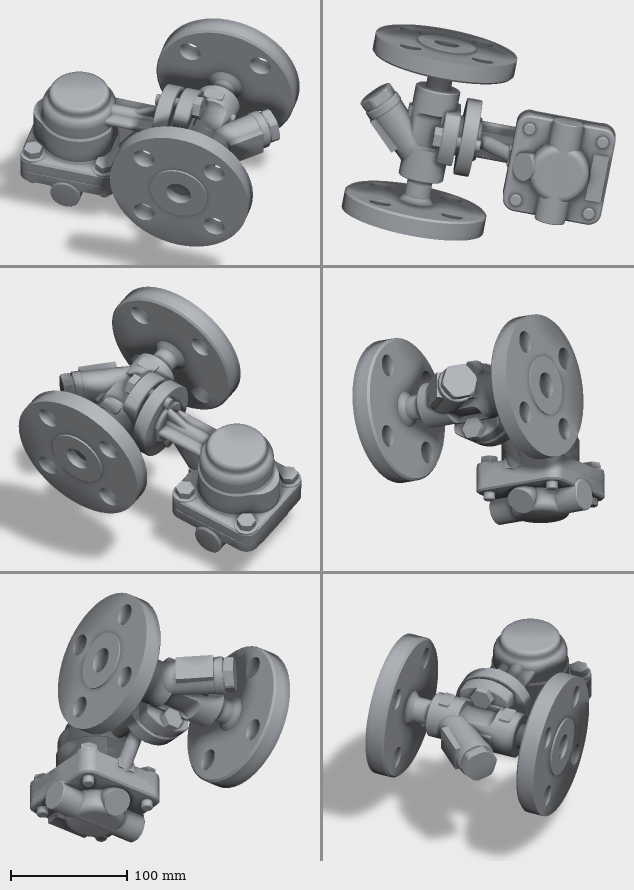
import cadquery as cq
import math


PIPE_HALF_LENGTH = 80.0
FLANGE_DIA = 124.0
FLANGE_INNER_Y = 61.7
FACE_DIA = 50.8
FACE_HEIGHT = 1.6
FLANGE_EDGE_CHAMFER = 1.8
FLANGE_BOLT_HOLE_DIA = 19.0
FLANGE_BOLT_CIRCLE = 88.9
FLANGE_BOLT_COUNT = 4
SOCKET_DIA = 22.2
SOCKET_DEPTH = 10.0
PIPE_DIA = 21.7
HUB_DIA = 30.8
HUB_LENGTH = 4.7

BODY_DIA = 39.0
BODY_HALF_LENGTH = 40.3
BODY_CHAMFER = 0.8
PAD_WIDTH = 17.0
PAD_LENGTH = 10.2
PAD_Y = 28.3
PAD_TOP = 19.65
PAD_CORNER = 2.0
WAIST_HALF_HEIGHT = 12.7
WAIST_Y = (-12.7, 19.5)
WAIST_ROUND_OUTLET = 2.9
WAIST_ROUND_INLET = 6.0

STRAINER_ROOT_Y = -27.4
STRAINER_ANGLE = 45.0
STRAINER_NECK_START = 12.0
STRAINER_NECK_RADIUS = 14.2
STRAINER_RADIUS = 15.5
STRAINER_END = 57.5
COLLAR_RADIUS = 16.3
COLLAR_END = 65.3
COLLAR_CHAMFER = 0.8
CAP_HEX_FLATS = 28.0
CAP_HEX_TRIM_RADIUS = 15.5
CAP_HEX_TURN = 13.0
CAP_END = 74.65
CAP_CHAMFER = 0.8
SPACER_RADIUS = 14.0
SPACER_LENGTH = 1.4
RIB_START = 25.0
RIB_SIDE = 16.4
RIB_HALF_HEIGHT = 11.1
WEB_REACH = 21.5
WEB_HALF_HEIGHT = 7.0

TRAP_Y = 2.0
JOINT_DIA = 67.0
TRAP_DISC_X = (-39.7, -26.8)
TRAP_DISC_CHAMFER = 0.6
BODY_DISC_X = (-23.3, -9.7)
BODY_DISC_HALF_WIDTH = 22.5
BODY_DISC_CHAMFER = 1.0
BODY_DISC_CORNER = 5.0
SHOULDER_X_END = -7.2
SHOULDER_HALF_WIDTH = 21.0
SHOULDER_HALF_HEIGHT = 18.0
GASKET_DIA = 35.0
JOINT_BOLT_DIA = 10.0
JOINT_BOLT_Z = 25.5
JOINT_BOLT_END_X = -44.0
JOINT_BOLT_CHAMFER = 0.7
JOINT_NUT_FLATS = 17.0
JOINT_NUT_LENGTH = 6.7

NECK_PLATE_DIA = 39.0
NECK_PLATE_HALF_WIDTH = 17.6
NECK_PLATE_X = -43.0
NECK_PLATE_CHAMFER = 1.3
NECK_TUBE_DIA = 15.0
NECK_SLAB_HALF_WIDTH = 16.3
NECK_SLAB_THICKNESS = 6.0
NECK_SLAB_Y = 2.25
NECK_SLAB_Z = 0.6
NECK_SLAB_FILLET = 1.2
NECK_RIB_X = -62.7
NECK_RIB_TOP = 18.0
NECK_RIB_THICKNESS = 6.6
NECK_RIB_ROUND = 2.9
PIPE_TUBE_DIA = 12.8
PIPE_TUBE_TOP = (-42.0, 2.0)
PIPE_TUBE_BOTTOM = (-78.2, -48.0)

TRAP_X = -113.1
COVER_SIZE = 86.0
UPPER_COVER_WIDTH = 85.3
COVER_TOP = -36.6
COVER_SEAM = -49.1
COVER_BOTTOM = -60.6
COVER_EDGE_CHAMFER = 1.6
UPPER_CORNER = 10.5
LOWER_CORNER = 11.2
COVER_BOLT_OFFSET = 32.0
SPOT_DIA = 21.0
SPOT_TOP = -35.7
COVER_BOLT_FLATS = 14.0
COVER_BOLT_HEAD = 6.5
COVER_BOLT_DIA = 10.0
COVER_BOLT_END = -67.0
COVER_BOLT_CHAMFER = 0.8
CASE_DIA = 67.0
CASE_TOP = -11.4
CASE_SHOULDER_Z = -9.4
CASE_RIGHT = 31.6
CASE_FOOT_DIA = 70.0
LOBE_REACH = 40.2
LOBE_RADIUS = 19.5
LOBE_BLEND = 30.0
DOME_RADIUS = 32.0
DOME_STRAIGHT_TOP = 1.0
DOME_SHOULDER_RADIUS = 27.8
DOME_SHOULDER_Z = 8.7
CROWN_RADIUS = 26.0
CROWN_FOOT_Z = 12.0
CROWN_TOP = 18.0
CROWN_ROUND = 4.0
SUMP_TOP_RADIUS = 26.6
SUMP_LOW_RADIUS = 24.8
SUMP_ROUND = 6.0
SUMP_BOTTOM = -79.2
LEDGE_OUTER = 39.9
LEDGE_HALF_WIDTH = 20.0
LEDGE_BOTTOM = -66.6
PORT_DIA = 26.3
PORT_FACE_DIA = 25.0
PORT_COLLAR_DIA = 28.8
PORT_COLLAR_INSET = 0.3
PORT_Z = -66.35
PORT_LENGTH = 89.0
PORT_Y = 2.4
DRAIN_DIA = 24.0
DRAIN_FACE_X = -81.5
DRAIN_FACE_Z = -72.58
DRAIN_RIM = 1.8
DRAIN_BODY_DIA = 23.0
DRAIN_LENGTH = 24.0
TUBE_LUG_X = -68.6
TUBE_LUG_WIDTH = 17.0
TUBE_LUG_HEIGHT = 9.0
TUBE_LUG_DEPTH = 6.0


def rod(start, axis, length, dia):
    """Round rod from a start point along an axis."""
    return cq.Workplane(cq.Solid.makeCylinder(dia / 2, length, cq.Vector(*start), cq.Vector(*axis)))


def block(x, y, z):
    """Box given as a (low, high) pair on each axis."""
    size = (x[1] - x[0], y[1] - y[0], z[1] - z[0])
    return cq.Workplane("XY").box(*size, centered=False).translate((x[0], y[0], z[0]))


def around(center, half):
    """Symmetric (low, high) pair."""
    return (center - half, center + half)


def hexagon(flats):
    """Across-corner size of a hexagon with the given size across flats."""
    return flats / math.cos(math.pi / 6)


def wall_arc_radius(run, rise):
    """Radius of an arc that leaves a vertical wall tangentially and covers the given run and rise."""
    return (run**2 + rise**2) / (2 * run)


def turned(outline):
    """Solid turned about the Z axis from (radius, z) points."""
    return cq.Workplane("XZ").polyline(outline).close().revolve(360, (0, 0, 0), (0, 1, 0))


def pipe_flange():
    """Flange, welding neck and pipe on the -Y side."""
    outer_y = PIPE_HALF_LENGTH - FACE_HEIGHT
    radius = FLANGE_DIA / 2
    outline = [
        (0, 0),
        (PIPE_DIA / 2, 0),
        (PIPE_DIA / 2, FLANGE_INNER_Y - HUB_LENGTH),
        (HUB_DIA / 2, FLANGE_INNER_Y),
        (radius - FLANGE_EDGE_CHAMFER, FLANGE_INNER_Y),
        (radius, FLANGE_INNER_Y + FLANGE_EDGE_CHAMFER),
        (radius, outer_y),
        (FACE_DIA / 2, outer_y),
        (FACE_DIA / 2, PIPE_HALF_LENGTH),
        (0, PIPE_HALF_LENGTH),
    ]
    flange = cq.Workplane("XY").polyline(outline).close().revolve(360, (0, 0, 0), (0, 1, 0))
    for index in range(FLANGE_BOLT_COUNT):
        angle = 2 * math.pi * (index + 0.5) / FLANGE_BOLT_COUNT
        x = FLANGE_BOLT_CIRCLE / 2 * math.cos(angle)
        z = FLANGE_BOLT_CIRCLE / 2 * math.sin(angle)
        flange = flange.cut(rod((x, FLANGE_INNER_Y, z), (0, 1, 0), PIPE_HALF_LENGTH, FLANGE_BOLT_HOLE_DIA))
    socket = rod((0, PIPE_HALF_LENGTH - SOCKET_DEPTH, 0), (0, 1, 0), SOCKET_DEPTH, SOCKET_DIA)
    return flange.cut(socket).mirror("XZ")


def valve_body():
    """Barrel along the pipe, waisted top and bottom, with two raised name pads."""
    barrel = rod((0, -BODY_HALF_LENGTH, 0), (0, 1, 0), 2 * BODY_HALF_LENGTH, BODY_DIA)
    barrel = barrel.faces("<Y or >Y").chamfer(BODY_CHAMFER)
    waist = block(around(0, BODY_DIA), WAIST_Y, (WAIST_HALF_HEIGHT, BODY_DIA))
    waist = waist.edges("<Y and <Z").fillet(WAIST_ROUND_OUTLET)
    waist = waist.edges(">Y and <Z").fillet(WAIST_ROUND_INLET)
    barrel = barrel.cut(waist).cut(waist.mirror("XY"))
    for y in (-PAD_Y, PAD_Y):
        pad = cq.Workplane("XY").rect(PAD_WIDTH, PAD_LENGTH).extrude(PAD_TOP)
        pad = pad.edges("|Z").fillet(PAD_CORNER).translate((0, y, 0))
        barrel = barrel.union(pad)
    return barrel


def strainer():
    """Strainer branch, built along +X and then swung round and moved to its root."""
    barrel = (
        cq.Workplane("XY")
        .polyline([
            (STRAINER_NECK_START, 0),
            (STRAINER_NECK_START, STRAINER_NECK_RADIUS),
            (STRAINER_END, STRAINER_RADIUS),
            (STRAINER_END, 0),
        ])
        .close()
        .revolve(360, (0, 0, 0), (1, 0, 0))
    )
    collar = rod((STRAINER_END, 0, 0), (1, 0, 0), COLLAR_END - STRAINER_END, 2 * COLLAR_RADIUS)
    collar = collar.faces("<X or >X").chamfer(COLLAR_CHAMFER)
    spacer = rod((COLLAR_END, 0, 0), (1, 0, 0), SPACER_LENGTH, 2 * SPACER_RADIUS)
    cap_start = COLLAR_END + SPACER_LENGTH
    cap_length = CAP_END - cap_start
    cap = cq.Workplane("YZ").polygon(6, hexagon(CAP_HEX_FLATS)).extrude(cap_length)
    cap = cap.rotate((0, 0, 0), (1, 0, 0), CAP_HEX_TURN).translate((cap_start, 0, 0))
    trim = rod((cap_start, 0, 0), (1, 0, 0), cap_length, 2 * CAP_HEX_TRIM_RADIUS)
    cap = cap.intersect(trim.faces(">X").chamfer(CAP_CHAMFER))
    rib = block((RIB_START, STRAINER_END), (-RIB_SIDE, 0), around(0, RIB_HALF_HEIGHT))
    branch = barrel.union(collar).union(spacer).union(cap).union(rib)
    branch = branch.rotate((0, 0, 0), (0, 0, 1), STRAINER_ANGLE)
    branch = branch.translate((0, STRAINER_ROOT_Y, 0))
    web = block((0, WEB_REACH), (0, WEB_REACH), around(0, WEB_HALF_HEIGHT))
    return branch.union(web)


def joint():
    """Two facing discs, their gasket and the two bolts that clamp them."""
    trap_disc = rod((TRAP_DISC_X[0], TRAP_Y, 0), (1, 0, 0), TRAP_DISC_X[1] - TRAP_DISC_X[0], JOINT_DIA)
    trap_disc = trap_disc.faces("<X or >X").chamfer(TRAP_DISC_CHAMFER)
    body_disc = rod((BODY_DISC_X[0], TRAP_Y, 0), (1, 0, 0), BODY_DISC_X[1] - BODY_DISC_X[0], JOINT_DIA)
    flats = block(BODY_DISC_X, around(TRAP_Y, BODY_DISC_HALF_WIDTH), around(0, JOINT_DIA))
    body_disc = body_disc.intersect(flats).edges("|X and (<Y or >Y)").fillet(BODY_DISC_CORNER)
    body_disc = body_disc.faces("<X or >X").chamfer(BODY_DISC_CHAMFER)
    shoulder = block(
        (BODY_DISC_X[1], SHOULDER_X_END),
        around(TRAP_Y, SHOULDER_HALF_WIDTH),
        around(0, SHOULDER_HALF_HEIGHT),
    )
    gasket = rod((TRAP_DISC_X[1], TRAP_Y, 0), (1, 0, 0), BODY_DISC_X[0] - TRAP_DISC_X[1], GASKET_DIA)
    assembly = trap_disc.union(body_disc).union(shoulder).union(gasket)
    bolt_length = BODY_DISC_X[1] - JOINT_BOLT_END_X
    for z in (-JOINT_BOLT_Z, JOINT_BOLT_Z):
        bolt = rod((JOINT_BOLT_END_X, TRAP_Y, z), (1, 0, 0), bolt_length, JOINT_BOLT_DIA)
        bolt = bolt.faces("<X").chamfer(JOINT_BOLT_CHAMFER)
        nut = cq.Workplane("YZ").polygon(6, hexagon(JOINT_NUT_FLATS)).extrude(JOINT_NUT_LENGTH)
        nut = nut.translate((BODY_DISC_X[1], TRAP_Y, z))
        assembly = assembly.union(bolt).union(nut)
    return assembly


def neck():
    """Flanged neck: tube with side slabs, a top rib and the slanted return tube."""
    plate = rod((NECK_PLATE_X, TRAP_Y, 0), (1, 0, 0), TRAP_DISC_X[0] - NECK_PLATE_X, NECK_PLATE_DIA)
    plate_span = (NECK_PLATE_X, TRAP_DISC_X[0])
    flats = block(plate_span, around(TRAP_Y, NECK_PLATE_HALF_WIDTH), around(0, NECK_PLATE_DIA))
    plate = plate.intersect(flats).faces("<X").chamfer(NECK_PLATE_CHAMFER)
    tube = rod((TRAP_X, TRAP_Y, 0), (1, 0, 0), NECK_PLATE_X - TRAP_X, NECK_TUBE_DIA)
    tube_radius = NECK_TUBE_DIA / 2
    slab = (
        cq.Workplane("YZ")
        .slot2D(2 * NECK_SLAB_HALF_WIDTH, NECK_SLAB_THICKNESS)
        .extrude(NECK_PLATE_X - TRAP_X)
        .translate((TRAP_X, NECK_SLAB_Y, NECK_SLAB_Z))
    )
    spine = tube.union(slab)
    inner_corners = cq.selectors.BoxSelector(
        (TRAP_X, TRAP_Y - tube_radius, -tube_radius),
        (NECK_PLATE_X, TRAP_Y + tube_radius, tube_radius),
    )
    spine = spine.edges("|X").edges(inner_corners).fillet(NECK_SLAB_FILLET)
    rib = (
        cq.Workplane("XZ")
        .polyline([
            (NECK_RIB_X, 0),
            (NECK_RIB_X, tube_radius),
            (NECK_PLATE_X, NECK_RIB_TOP),
            (NECK_PLATE_X, 0),
        ])
        .close()
        .extrude(NECK_RIB_THICKNESS / 2, both=True)
        .translate((0, TRAP_Y, 0))
    )
    rib = rib.faces(">Z").edges("not |Y").fillet(NECK_RIB_ROUND)
    dx = PIPE_TUBE_BOTTOM[0] - PIPE_TUBE_TOP[0]
    dz = PIPE_TUBE_BOTTOM[1] - PIPE_TUBE_TOP[1]
    top = (PIPE_TUBE_TOP[0], TRAP_Y, PIPE_TUBE_TOP[1])
    return_tube = rod(top, (dx, 0, dz), math.hypot(dx, dz), PIPE_TUBE_DIA)
    return plate.union(spine).union(rib).union(return_tube)


def trap_dome():
    """Domed crown of the trap, turned about the trap axis."""
    shoulder_round = wall_arc_radius(DOME_RADIUS - DOME_SHOULDER_RADIUS, DOME_SHOULDER_Z - DOME_STRAIGHT_TOP)
    crown_foot_round = wall_arc_radius(DOME_SHOULDER_RADIUS - CROWN_RADIUS, CROWN_FOOT_Z - DOME_SHOULDER_Z)
    profile = (
        cq.Workplane("XZ")
        .moveTo(0, CASE_TOP)
        .lineTo(DOME_RADIUS, CASE_TOP)
        .lineTo(DOME_RADIUS, DOME_STRAIGHT_TOP)
        .radiusArc((DOME_SHOULDER_RADIUS, DOME_SHOULDER_Z), -shoulder_round)
        .radiusArc((CROWN_RADIUS, CROWN_FOOT_Z), crown_foot_round)
        .lineTo(CROWN_RADIUS, CROWN_TOP - CROWN_ROUND)
        .radiusArc((CROWN_RADIUS - CROWN_ROUND, CROWN_TOP), -CROWN_ROUND)
        .lineTo(0, CROWN_TOP)
        .close()
    )
    return profile.revolve(360, (0, 0, 0), (0, 1, 0))


def trap_case():
    """Round case below the dome with a flattened +X side and a lobe on the -X side."""
    height = CASE_TOP - COVER_TOP
    case = cq.Workplane("XY").workplane(offset=COVER_TOP).circle(CASE_DIA / 2).extrude(height)
    shoulder = turned([
        (0, CASE_TOP),
        (CASE_DIA / 2, CASE_TOP),
        (DOME_RADIUS, CASE_SHOULDER_Z),
        (0, CASE_SHOULDER_Z),
    ])
    case = case.union(shoulder)
    span = (COVER_TOP, CASE_SHOULDER_Z)
    case = case.intersect(block((-CASE_DIA, CASE_RIGHT), around(0, CASE_DIA), span))
    lobe = cq.Workplane("XY").workplane(offset=COVER_TOP).center(LOBE_RADIUS - LOBE_REACH, 0)
    lobe = lobe.circle(LOBE_RADIUS).extrude(height)
    case = case.union(lobe)
    seams = cq.selectors.BoxSelector(
        (-CASE_DIA / 2, -CASE_DIA, COVER_TOP),
        (-LOBE_REACH / 2, CASE_DIA, CASE_TOP),
    )
    case = case.edges("|Z").edges(seams).fillet(LOBE_BLEND)
    foot_flare = (CASE_FOOT_DIA - CASE_DIA) / 2
    foot = turned([
        (0, COVER_TOP),
        (CASE_FOOT_DIA / 2, COVER_TOP),
        (CASE_DIA / 2, COVER_TOP + foot_flare),
        (0, COVER_TOP + foot_flare),
    ])
    return case.union(foot)


def trap_cover():
    """Two clamped square plates with spot faces and four through bolts."""
    upper = block(around(0, COVER_SIZE / 2), around(0, UPPER_COVER_WIDTH / 2), (COVER_SEAM, COVER_TOP))
    upper = upper.edges("|Z").fillet(UPPER_CORNER).faces(">Z").chamfer(COVER_EDGE_CHAMFER)
    lower = block(around(0, COVER_SIZE / 2), around(0, COVER_SIZE / 2), (COVER_BOTTOM, COVER_SEAM))
    lower = lower.edges("|Z").fillet(LOWER_CORNER).faces("<Z").chamfer(COVER_EDGE_CHAMFER)
    cover = upper.union(lower)
    for x in (-COVER_BOLT_OFFSET, COVER_BOLT_OFFSET):
        for y in (-COVER_BOLT_OFFSET, COVER_BOLT_OFFSET):
            spot = rod((x, y, COVER_SEAM), (0, 0, 1), SPOT_TOP - COVER_SEAM, SPOT_DIA)
            shank = rod((x, y, COVER_BOLT_END), (0, 0, 1), SPOT_TOP - COVER_BOLT_END, COVER_BOLT_DIA)
            shank = shank.faces("<Z").chamfer(COVER_BOLT_CHAMFER)
            head = cq.Workplane("XY").polygon(6, hexagon(COVER_BOLT_FLATS)).extrude(COVER_BOLT_HEAD)
            head = head.rotate((0, 0, 0), (0, 0, 1), 90).translate((x, y, SPOT_TOP))
            cover = cover.union(spot).union(shank).union(head)
    return cover


def trap_sump():
    """Bowl under the cover with the ledge on its -X side."""
    bowl = turned([
        (0, COVER_BOTTOM),
        (SUMP_TOP_RADIUS, COVER_BOTTOM),
        (SUMP_LOW_RADIUS, SUMP_BOTTOM),
        (0, SUMP_BOTTOM),
    ])
    bowl = bowl.faces("<Z").edges().fillet(SUMP_ROUND)
    ledge = block((-LEDGE_OUTER, -SUMP_TOP_RADIUS), around(0, LEDGE_HALF_WIDTH), (LEDGE_BOTTOM, COVER_SEAM))
    return bowl.union(ledge)


def trap_ports():
    """Cross port barrel along Y and the slanted drain boss."""
    port = rod((TRAP_X, PORT_Y - PORT_LENGTH / 2, PORT_Z), (0, 1, 0), PORT_LENGTH, PORT_DIA)
    port = port.faces("<Y or >Y").chamfer((PORT_DIA - PORT_FACE_DIA) / 2)
    collar_length = PORT_LENGTH - 2 * PORT_COLLAR_INSET
    collar = rod((TRAP_X, PORT_Y - collar_length / 2, PORT_Z), (0, 1, 0), collar_length, PORT_COLLAR_DIA)
    collar = collar.faces("<Y or >Y").chamfer((PORT_COLLAR_DIA - PORT_DIA) / 2)
    collar = collar.intersect(
        block(around(TRAP_X, PORT_COLLAR_DIA), around(PORT_Y, PORT_LENGTH), (COVER_BOTTOM, COVER_SEAM))
    )
    port = port.union(collar)
    drain_face = (DRAIN_FACE_X, TRAP_Y, DRAIN_FACE_Z)
    drain = rod(drain_face, (-1, 0, 1), DRAIN_RIM, DRAIN_DIA)
    drain = drain.union(rod(drain_face, (-1, 0, 1), DRAIN_LENGTH, DRAIN_BODY_DIA))
    lug = block(
        (TUBE_LUG_X - TUBE_LUG_DEPTH, TUBE_LUG_X),
        around(TRAP_Y, TUBE_LUG_WIDTH / 2),
        (COVER_TOP - TUBE_LUG_HEIGHT, COVER_TOP),
    )
    return port.union(drain).union(lug)


def trap():
    """Complete trap at its place beside the valve body."""
    on_axis = trap_cover().union(trap_case()).union(trap_dome()).union(trap_sump())
    return on_axis.translate((TRAP_X, TRAP_Y, 0)).union(trap_ports())


near_flange = pipe_flange()
result = (
    valve_body()
    .union(near_flange)
    .union(near_flange.mirror("XZ"))
    .union(strainer())
    .union(joint())
    .union(neck())
    .union(trap())
)